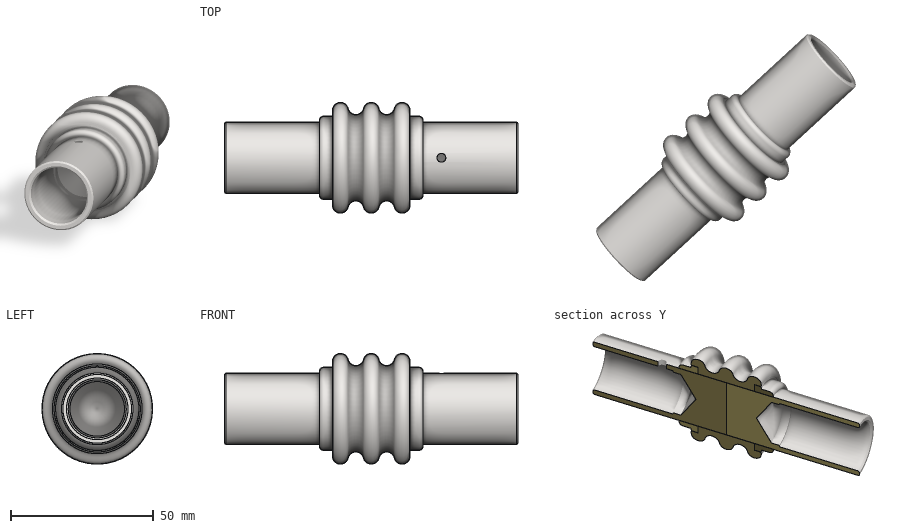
import cadquery as cq
import math


total_length = 103.2
tube_radius = 12.6
tube_end_chamfer = 0.5
bore_radius = 10.2
bore_chamfer = 0.6
bore_depth = 31.0
drill_radius = 9.6
drill_depth = 34.1
drill_point_angle = 118.0
vent_radius = 1.5
vent_x = 24.7

outer_diameter = 38.9
rib_count = 3
rib_pitch = 10.8
rib_arc_radius = 2.8

collar_radius = 14.7
collar_outer_x = 18.3
collar_fillet = 1.7
flange_radius = 15.8
flange_chamfer_width = 0.6
flange_chamfer_length = 0.26
flange_thickness = 2.8

half_length = total_length / 2
boot_radius = outer_diameter / 2
drill_point_depth = drill_radius / math.tan(math.radians(drill_point_angle / 2))
rib_center_radius = boot_radius - rib_arc_radius
boot_half_length = (rib_count - 1) / 2 * rib_pitch + rib_arc_radius
flange_inner_x = boot_half_length - flange_thickness

groove_center_rise = math.sqrt((2 * rib_arc_radius) ** 2 - (rib_pitch / 2) ** 2)
groove_bottom_radius = rib_center_radius + groove_center_rise - rib_arc_radius
tangent_offset = rib_pitch / 4
tangent_radius = rib_center_radius + groove_center_rise / 2


def revolve_about_x(profile):
    """Revolve a closed (x, radius) profile into a solid around the X axis."""
    return profile.close().revolve(360, (0, 0, 0), (1, 0, 0))


def mirror_to_left(body):
    """Mirror a right-hand body to the -X side."""
    return body.mirror("YZ")


def make_tube():
    """Right-hand tube with a stepped blind bore that ends in a drill point."""
    bore_end_x = half_length - bore_depth
    drill_end_x = half_length - drill_depth
    profile = (
        cq.Workplane("XZ")
        .moveTo(0, 0)
        .lineTo(0, tube_radius)
        .lineTo(half_length - tube_end_chamfer, tube_radius)
        .lineTo(half_length, tube_radius - tube_end_chamfer)
        .lineTo(half_length, bore_radius + bore_chamfer)
        .lineTo(half_length - bore_chamfer, bore_radius)
        .lineTo(bore_end_x, bore_radius)
        .lineTo(bore_end_x, drill_radius)
        .lineTo(drill_end_x, drill_radius)
        .lineTo(drill_end_x - drill_point_depth, 0)
    )
    return revolve_about_x(profile)


def cut_vent(tube):
    """Drill the vent through the top wall of a tube into its bore."""
    vent = cq.Workplane("XY").center(vent_x, 0).circle(vent_radius).extrude(tube_radius)
    return tube.cut(vent)


def make_collar():
    """Right-hand collar: rounded sleeve with a chamfered flange that sits inside the boot."""
    fillet_middle = collar_fillet * math.sqrt(0.5)
    fillet_center_x = collar_outer_x - collar_fillet
    fillet_center_radius = collar_radius - collar_fillet
    profile = (
        cq.Workplane("XZ")
        .moveTo(flange_inner_x, tube_radius)
        .lineTo(flange_inner_x, flange_radius)
        .lineTo(boot_half_length - flange_chamfer_length, flange_radius)
        .lineTo(boot_half_length, flange_radius - flange_chamfer_width)
        .lineTo(boot_half_length, collar_radius)
        .lineTo(fillet_center_x, collar_radius)
        .threePointArc(
            (fillet_center_x + fillet_middle, fillet_center_radius + fillet_middle),
            (collar_outer_x, fillet_center_radius),
        )
        .lineTo(collar_outer_x, tube_radius)
    )
    return revolve_about_x(profile)


def make_boot():
    """Boot with round ribs and grooves outside, and a recess for a flange at each end."""
    profile = (
        cq.Workplane("XZ")
        .moveTo(-flange_inner_x, tube_radius)
        .lineTo(-flange_inner_x, flange_radius)
        .lineTo(-boot_half_length, flange_radius)
        .lineTo(-boot_half_length, rib_center_radius)
    )
    last_rib = rib_count - 1
    for rib in range(last_rib):
        rib_x = (rib - last_rib / 2) * rib_pitch
        rib_end = (rib_x + tangent_offset, tangent_radius)
        groove_bottom = (rib_x + rib_pitch / 2, groove_bottom_radius)
        groove_end = (rib_x + rib_pitch - tangent_offset, tangent_radius)
        profile = (
            profile.threePointArc((rib_x, boot_radius), rib_end)
            .threePointArc(groove_bottom, groove_end)
        )
    last_rib_x = last_rib / 2 * rib_pitch
    profile = (
        profile.threePointArc((last_rib_x, boot_radius), (boot_half_length, rib_center_radius))
        .lineTo(boot_half_length, flange_radius)
        .lineTo(flange_inner_x, flange_radius)
        .lineTo(flange_inner_x, tube_radius)
    )
    return revolve_about_x(profile)


plain_tube = make_tube()
left_tube = mirror_to_left(plain_tube)
right_tube = cut_vent(plain_tube)

right_collar = make_collar()
left_collar = mirror_to_left(right_collar)

boot = make_boot()

result = cq.Compound.makeCompound([
    left_tube.val(),
    right_tube.val(),
    left_collar.val(),
    right_collar.val(),
    boot.val(),
])